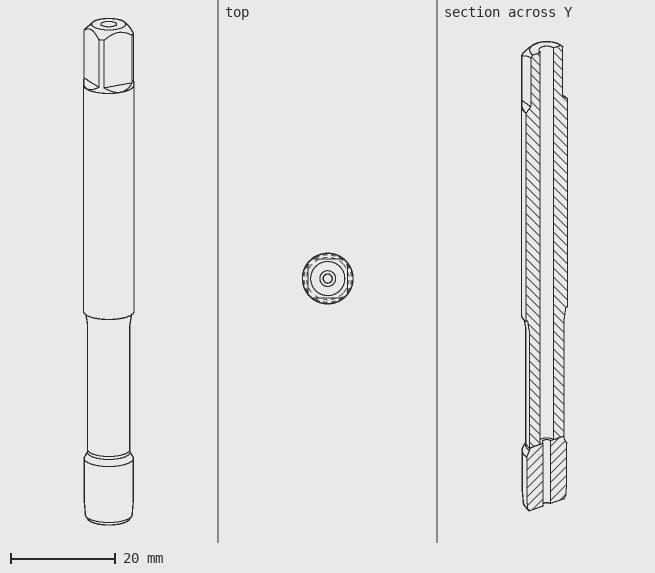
import cadquery as cq

total_length = 100.0
joint_height = 13.9

head_diameter = 9.4
lead_diameter = 9.0
tip_diameter = 8.1
tip_chamfer_height = 0.7
lead_top = 3.4
head_shoulder_bottom = 12.1
head_shoulder_top = 13.3
head_bore_diameter = 1.7

neck_diameter = 8.1
neck_cone_diameter = 9.0
neck_cone_bottom = 39.2
shank_bottom = 41.9
shank_diameter = 9.7
shank_bore_diameter = 3.0

square_base = 87.7
square_width = 7.5
square_corner_diameter = 9.6
top_face_diameter = 6.5
top_chamfer_height = (square_corner_diameter - top_face_diameter) / 2
runout_rise = (shank_diameter - square_width) / 2
flat_bottom = square_base + runout_rise


def revolved(steps):
    """Solid of revolution about Z through (diameter, height) steps, lowest first."""
    bottom = steps[0][1]
    top = steps[-1][1]
    profile = [(0, bottom)] + [(diameter / 2, height) for diameter, height in steps] + [(0, top)]
    return cq.Workplane("XZ").polyline(profile).close().revolve(360, (0, 0, 0), (0, 1, 0))


def bore(diameter, bottom, top):
    """Cylinder along Z that clears a central bore."""
    return cq.Workplane("XY").workplane(offset=bottom).circle(diameter / 2).extrude(top - bottom)


def flat_cutter():
    """Material outside one flat of the square, with a sloped runout at its foot."""
    side = square_width / 2
    outside = shank_diameter
    foot_at_outside = flat_bottom - (outside - side)
    profile = [
        (side, total_length),
        (side, flat_bottom),
        (outside, foot_at_outside),
        (outside, total_length),
    ]
    return cq.Workplane("XZ").polyline(profile).close().extrude(shank_diameter, both=True)


def make_head():
    blank = revolved([
        (tip_diameter, 0),
        (lead_diameter, tip_chamfer_height),
        (head_diameter, lead_top),
        (head_diameter, head_shoulder_bottom),
        (neck_diameter, head_shoulder_top),
        (neck_diameter, joint_height),
    ])
    return blank.cut(bore(head_bore_diameter, 0, joint_height))


def make_shank():
    shank = revolved([
        (neck_diameter, joint_height),
        (neck_diameter, neck_cone_bottom),
        (neck_cone_diameter, shank_bottom),
        (shank_diameter, shank_bottom),
        (shank_diameter, square_base),
        (square_corner_diameter, square_base),
        (square_corner_diameter, total_length - top_chamfer_height),
        (top_face_diameter, total_length),
    ])
    cutter = flat_cutter()
    for angle in (0, 90, 180, 270):
        shank = shank.cut(cutter.rotate((0, 0, 0), (0, 0, 1), angle))
    return shank.cut(bore(shank_bore_diameter, joint_height, total_length))


head = make_head()
shank = make_shank()
result = cq.Compound.makeCompound([head.val(), shank.val()])